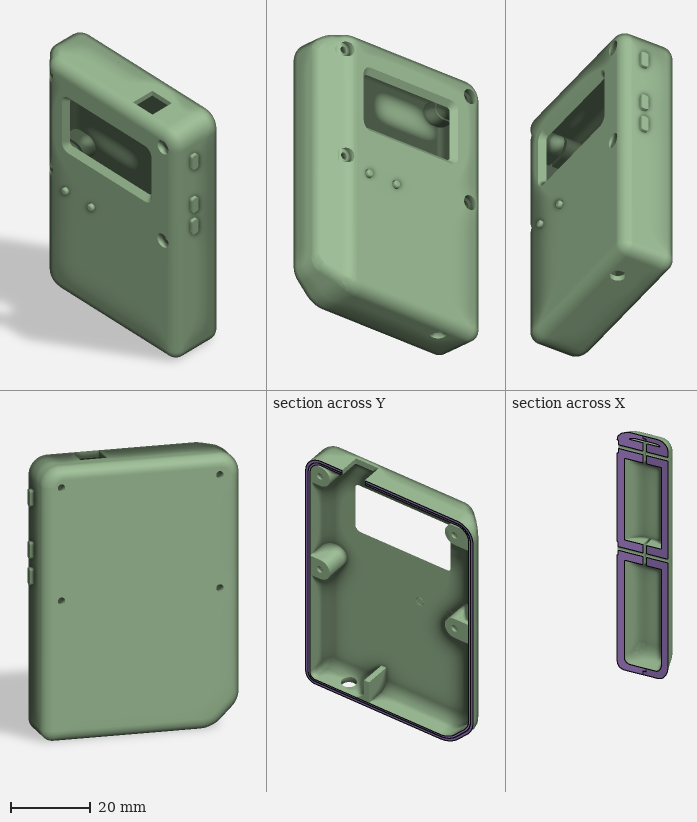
import cadquery as cq
import math

case_width = 51.67
case_depth = 16.0
case_height = 71.5
seam_y = 9.0
side_wall = 1.5
lip_inset = side_wall / 2
lip_end = seam_y + lip_inset
front_wall = 1.5
back_wall = 2.0
rim_radius = 3.0
cavity_front_radius = 2.5
cavity_back_radius = 1.5
top_corner_radius = 5.0
foot_corner_radius = 3.0

foot_slope = 7.0
foot_slope_side_radius = 6.0
foot_slope_bottom_radius = 8.0

grip_slope = 6.4
grip_front_radius = 5.0

screw_xs = (5.65, 47.1)
screw_zs = (37.0, 66.5)
screw_hole_diameter = 1.9
screw_head_diameter = 4.0
seat_depths = (1.65, 1.9)
seat_radii = (1.1, 1.6)
seat_flat_left = 5.24
screw_boss_radius = 3.0

window_left = 12.3
window_right = 41.5
window_bottom = 47.3
window_top = 61.9
window_corner_radius = 0.9
window_bevel = front_wall
bevel_land = 0.001

slot_left = 33.3
slot_width = 7.0
slot_right = slot_left + slot_width
slot_front = rim_radius
slot_back = lip_end

cable_hole_diameter = 4.0
cable_hole_x = 41.0
cable_hole_y = 5.1
cable_rib_face = 33.5
cable_rib_back = seam_y
cable_rib_thickness = 1.5
cable_rib_height = 8.0
cable_rib_root_radius = 3.2

button_zs = (41.2, 48.05, 61.65)
button_y = 6.0
button_length = 4.4
button_thickness = 2.1
button_corner_radius = 0.7
button_rise = 1.0

pin_xs = (12.4, 21.7)
pin_z = 33.6
pin_diameter = 2.0
pin_hole_diameter = 2.3
pin_rise = 1.0
pin_tip_radius = 0.5


def box(x0, x1, y0, y1, z0, z1):
    """Box between two opposite corners."""
    return cq.Workplane("XY").box(x1 - x0, y1 - y0, z1 - z0, centered=False).translate((x0, y0, z0))


def cylinder_y(x, z, diameter, y0, y1):
    """Cylinder along Y from y0 to y1."""
    return cq.Workplane("XZ", origin=(x, y1, z)).circle(diameter / 2).extrude(y1 - y0)


def rounded_block(side_inset, front_inset, back_inset, front_rim, back_rim):
    """The case shape, moved inwards at the sides, front and back, with its own rim radii."""
    left = bottom = side_inset
    right = case_width - side_inset
    top = case_height - side_inset
    front = front_inset
    back = case_depth - back_inset
    slope_shift = side_inset * math.sqrt(2)
    foot = foot_slope + slope_shift - side_inset
    grip_x = grip_slope + slope_shift - front
    grip_y = grip_slope + slope_shift - left

    block = (
        cq.Workplane("XZ", origin=(0, back, 0))
        .polyline([(left, foot), (foot, bottom), (right, bottom), (right, top), (left, top)])
        .close()
        .extrude(back - front)
    )
    corners = [
        (left, top, top_corner_radius),
        (right, top, top_corner_radius),
        (right, bottom, foot_corner_radius),
        (left, foot, foot_slope_side_radius),
        (foot, bottom, foot_slope_bottom_radius),
    ]
    middle = (front + back) / 2
    for x, z, radius in corners:
        edge = cq.selectors.NearestToPointSelector((x, middle, z))
        block = block.edges("|Y").edges(edge).fillet(radius - side_inset)

    wedge = (
        cq.Workplane("XY")
        .polyline([(left, front), (grip_x, front), (left, grip_y)])
        .close()
        .extrude(case_height)
    )
    block = block.cut(wedge)
    grip_edge = cq.selectors.NearestToPointSelector((grip_x, front, case_height / 2))
    block = block.edges("|Z").edges(grip_edge).fillet(grip_front_radius - side_inset)

    block = block.faces(">Y").edges().fillet(back_rim)
    grip_side_edge = cq.selectors.NearestToPointSelector((left, grip_y, case_height / 2))
    return block.edges("|Z").edges(grip_side_edge).fillet(front_rim)


def screw_holes():
    """Holes for the four screws, through the whole depth."""
    holes = cq.Workplane("XY")
    for x in screw_xs:
        for z in screw_zs:
            holes = holes.union(cylinder_y(x, z, screw_hole_diameter, 0, case_depth))
    return holes


def screw_recess(x, z, seat_depth, seat_radius):
    """Recess for a screw head; its seat rolls off towards the grip to the left of seat_flat_left."""
    reach = screw_head_diameter
    seat_left = seat_flat_left - seat_radius
    grip_depth = grip_slope - seat_left
    recess = cylinder_y(x, z, screw_head_diameter, 0, grip_depth)
    seat = box(seat_left, x + reach, seat_depth, seat_depth + reach, z - reach, z + reach)
    seat = seat.edges("|Z and <X and <Y").fillet(seat_radius)
    return recess.cut(seat)


def screw_bosses():
    """A boss round each screw, reaching sideways to the nearer side wall."""
    bosses = cq.Workplane("XY")
    for x in screw_xs:
        wall_x = 0 if x < case_width / 2 else case_width
        web_left = min(x, wall_x)
        web_right = max(x, wall_x)
        for z in screw_zs:
            post = cylinder_y(x, z, 2 * screw_boss_radius, 0, case_depth)
            web = box(web_left, web_right, 0, case_depth, z - screw_boss_radius, z + screw_boss_radius)
            bosses = bosses.union(post).union(web)
    return bosses


def window():
    """Rounded window through the front wall, widening towards the front at 45 degrees."""
    width = window_right - window_left
    height = window_top - window_bottom
    centre = ((window_left + window_right) / 2, 0, (window_bottom + window_top) / 2)
    opening = (
        cq.Workplane("XZ", origin=centre)
        .rect(width, height)
        .extrude(-front_wall)
        .edges("|Y")
        .fillet(window_corner_radius)
    )
    bevel = (
        cq.Workplane("XZ", origin=centre)
        .rect(width + 2 * window_bevel, height + 2 * window_bevel)
        .extrude(-window_bevel)
        .edges("|Y")
        .fillet(window_corner_radius + window_bevel)
        .faces(">Y")
        .edges()
        .chamfer(window_bevel - bevel_land)
    )
    return opening.union(bevel)


def cable_rib():
    """Rib beside the cable hole, with a rounded root on the bottom wall."""
    root_end = cable_rib_face + cable_rib_root_radius
    root_top = side_wall + cable_rib_root_radius
    return (
        cq.Workplane("XZ", origin=(0, cable_rib_back, 0))
        .moveTo(cable_rib_face - cable_rib_thickness, side_wall)
        .lineTo(root_end, side_wall)
        .radiusArc((cable_rib_face, root_top), cable_rib_root_radius)
        .lineTo(cable_rib_face, cable_rib_height)
        .lineTo(cable_rib_face - cable_rib_thickness, cable_rib_height)
        .close()
        .extrude(cable_rib_back - front_wall)
    )


def side_button(z):
    """Rounded button standing on the right side wall."""
    return (
        cq.Workplane("YZ", origin=(case_width - side_wall, button_y, z))
        .rect(button_thickness, button_length)
        .extrude(side_wall + button_rise)
        .edges("|X")
        .fillet(button_corner_radius)
    )


def make_pin(x):
    """Pin through the front wall, with a rounded tip."""
    pin = cylinder_y(x, pin_z, pin_diameter, -pin_rise, front_wall)
    return pin.faces("<Y").edges().fillet(pin_tip_radius)


def depth_slice(y0, y1):
    """Everything of the case between two depths."""
    return box(0, case_width, y0, y1, 0, case_height)


outer = rounded_block(0, 0, 0, rim_radius, rim_radius)
cavity = rounded_block(side_wall, front_wall, back_wall, cavity_front_radius, cavity_back_radius)
slot_bottom = case_height - side_wall - cavity_front_radius
slot = box(slot_left, slot_right, slot_front, slot_back, slot_bottom, case_height)
cable_hole = (
    cq.Workplane("XY", origin=(cable_hole_x, cable_hole_y, 0))
    .circle(cable_hole_diameter / 2)
    .extrude(side_wall + cavity_front_radius)
)
walls = outer.cut(cavity).cut(slot).cut(cable_hole).cut(screw_holes())
bosses = screw_bosses().intersect(cavity).cut(screw_holes())

lip_zone = rounded_block(lip_inset, front_wall, back_wall, cavity_front_radius, cavity_back_radius)
lip_zone = lip_zone.intersect(depth_slice(seam_y, lip_end))

front_shell = walls.intersect(depth_slice(0, seam_y).union(lip_zone))
front_shell = front_shell.union(bosses.intersect(depth_slice(0, seam_y)))
front_shell = front_shell.union(cable_rib()).cut(window())
for screw_x in screw_xs:
    for screw_z, depth, radius in zip(screw_zs, seat_depths, seat_radii):
        front_shell = front_shell.cut(screw_recess(screw_x, screw_z, depth, radius))
for button_z in button_zs:
    front_shell = front_shell.union(side_button(button_z))
for pin_x in pin_xs:
    front_shell = front_shell.cut(cylinder_y(pin_x, pin_z, pin_hole_diameter, 0, front_wall))

back_shell = walls.intersect(depth_slice(seam_y, case_depth)).cut(lip_zone)
back_shell = back_shell.union(bosses.intersect(depth_slice(lip_end, case_depth)))

pins = [make_pin(x) for x in pin_xs]

result = cq.Compound.makeCompound([front_shell.val(), back_shell.val(), *[pin.val() for pin in pins]])